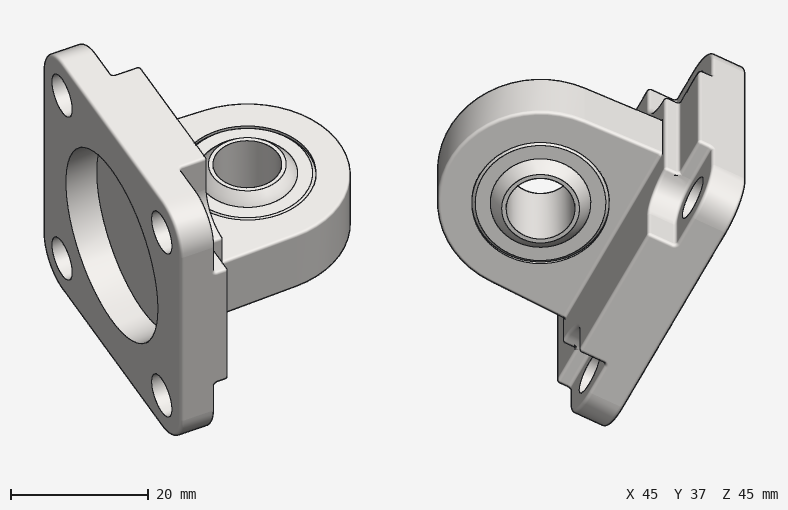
import cadquery as cq
import math

flange_size = 45.0
flange_thickness = 10.0
hole_spacing = 32.5
hole_diameter = 6.6
hole_offset = hole_spacing / 2
corner_radius = flange_size / 2 - hole_offset
edge_radius = 0.5

seat_height = 5.5
seat_radius = 5.25
shoulder_height = 7.7

recess_diameter = 30.0
recess_depth = 5.0

eye_distance = 22.0
eye_radius = 15.0
eye_thickness = 10.5
eye_draft = math.radians(2)

race_diameter = 20.0
race_chamfer = 0.5
ball_diameter = 18.0
ball_width = 14.0
bore_diameter = 10.0

sharp_limit = 0.1


def is_sharp(edge, body):
    """True where the two faces meeting at the edge are not tangent."""
    middle = edge.positionAt(0.5)
    first, second = [face.normalAt(middle) for face in edge.ancestors(body, "Face")]
    return first.cross(second).Length > sharp_limit


def make_seat_cutter(x_side, z_side):
    """Block that opens one plate corner, with a rounded inner corner and rounded floor edges."""
    cutter_size = 2 * corner_radius + seat_radius
    cutter_center = hole_offset - seat_radius + cutter_size / 2
    return (
        cq.Workplane("XZ", origin=(x_side * cutter_center, seat_height, z_side * cutter_center))
        .rect(cutter_size, cutter_size)
        .extrude(-flange_thickness)
        .edges("|Y")
        .fillet(seat_radius)
        .faces("<Y")
        .edges()
        .fillet(edge_radius)
    )


def make_flange():
    """Square plate with rounded corners, screw seats, lowered side borders and rounded edges."""
    plate = (
        cq.Workplane("XZ")
        .rect(flange_size, flange_size)
        .extrude(-flange_thickness)
        .edges("|Y")
        .fillet(corner_radius)
    )

    border_height = flange_thickness - shoulder_height
    border_cutter = cq.Workplane("XY").box(corner_radius, border_height, flange_size)
    for x_side in (-1, 1):
        border_x = x_side * (hole_offset + corner_radius / 2)
        plate = plate.cut(border_cutter.translate((border_x, shoulder_height + border_height / 2, 0)))

    for x_side in (-1, 1):
        for z_side in (-1, 1):
            plate = plate.cut(make_seat_cutter(x_side, z_side))

    solid = plate.val()
    sharp_edges = [edge for edge in solid.Edges() if is_sharp(edge, solid)]
    return plate.newObject(sharp_edges).fillet(edge_radius)


def add_eye(flange):
    """Add the drafted lug with its round head, root fillets and rounded rim."""
    tangent_x = eye_radius * math.cos(eye_draft)
    tangent_y = eye_distance + eye_radius * math.sin(eye_draft)
    root_x = tangent_x + (tangent_y - flange_thickness) * math.tan(eye_draft)
    eye = (
        cq.Workplane("XY", origin=(0, 0, -eye_thickness / 2))
        .moveTo(-root_x, flange_thickness)
        .lineTo(-tangent_x, tangent_y)
        .threePointArc((0, eye_distance + eye_radius), (tangent_x, tangent_y))
        .lineTo(root_x, flange_thickness)
        .close()
        .extrude(eye_thickness)
    )
    body = flange.union(eye)
    box_half_height = eye_thickness / 2 + edge_radius / 2
    root_box = cq.selectors.BoxSelector(
        (-eye_radius, flange_thickness - edge_radius / 2, -box_half_height),
        (eye_radius, flange_thickness + edge_radius / 2, box_half_height),
    )
    rim_box = cq.selectors.BoxSelector(
        (-flange_size, flange_thickness + edge_radius, -box_half_height),
        (flange_size, eye_distance + 2 * eye_radius, box_half_height),
    )
    root_edges = body.edges(root_box).edges("|X")
    rim_edges = body.edges(rim_box).edges("not |Z")
    return root_edges.add(rim_edges).fillet(edge_radius)


def make_housing():
    """Flange and eye in one piece, with the screw holes, front recess and race seat."""
    housing = add_eye(make_flange())
    holes = (
        cq.Workplane("XZ")
        .rect(hole_spacing, hole_spacing, forConstruction=True)
        .vertices()
        .circle(hole_diameter / 2)
        .extrude(-flange_thickness)
    )
    recess = cq.Workplane("XZ").circle(recess_diameter / 2).extrude(-recess_depth)
    race_seat = (
        cq.Workplane("XY", origin=(0, eye_distance, -eye_thickness / 2))
        .circle(race_diameter / 2)
        .extrude(eye_thickness)
    )
    return housing.cut(holes).cut(recess).cut(race_seat)


def make_sphere():
    """Full sphere on the bearing centre, shared by the ball and the race."""
    return cq.Workplane("XY", origin=(0, eye_distance, 0)).sphere(ball_diameter / 2)


def make_race():
    """Outer ring flush with the eye, hollowed to fit the ball."""
    ring = (
        cq.Workplane("XY", origin=(0, eye_distance, -eye_thickness / 2))
        .circle(race_diameter / 2)
        .extrude(eye_thickness)
        .edges()
        .chamfer(race_chamfer)
    )
    return ring.cut(make_sphere())


def make_ball():
    """Sphere cut flat at both ends and bored through along Z."""
    width_slab = (
        cq.Workplane("XY", origin=(0, eye_distance, -ball_width / 2))
        .circle(ball_diameter)
        .extrude(ball_width)
    )
    bore = (
        cq.Workplane("XY", origin=(0, eye_distance, -ball_width / 2))
        .circle(bore_diameter / 2)
        .extrude(ball_width)
    )
    return make_sphere().intersect(width_slab).cut(bore)


housing = make_housing()
race = make_race()
ball = make_ball()

result = cq.Compound.makeCompound([housing.val(), race.val(), ball.val()])